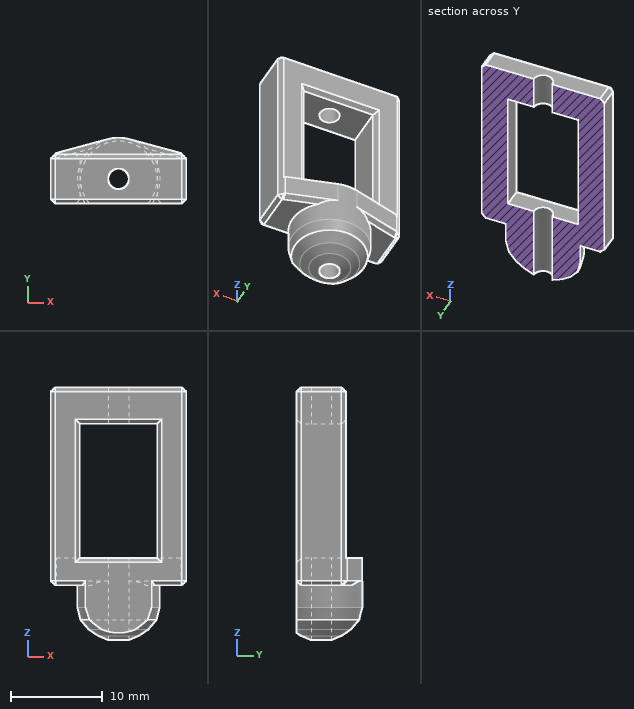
import cadquery as cq
import math

BLOCK_WIDTH = 14.8
BLOCK_DEPTH = 5.4
BLOCK_HEIGHT = 21.6
CHAMFER = 0.5

WINDOW_WIDTH = 8.4
WINDOW_TOP = 6.8
WINDOW_BOTTOM = -7.8

TAB_RADIUS = 4.5
TAB_STRAIGHT_END = -13.2
OVERALL_HEIGHT = 27.56
TIP_RADIUS = 1.14

WEDGE_CORNER_Y = 2.83

HOLE_DIAMETER = 2.2

BLOCK_TOP = BLOCK_HEIGHT / 2
BLOCK_BOTTOM = -BLOCK_HEIGHT / 2
FRONT_Y = -BLOCK_DEPTH / 2
BACK_Y = BLOCK_DEPTH / 2
WINDOW_HEIGHT = WINDOW_TOP - WINDOW_BOTTOM
WINDOW_CENTRE_Z = (WINDOW_TOP + WINDOW_BOTTOM) / 2
TIP_DEPTH = OVERALL_HEIGHT - BLOCK_TOP + TAB_STRAIGHT_END

END_BAND_RIMS = [
    (TAB_RADIUS, 0.0),
    (4.16, 1.36),
    (3.26, 2.41),
    (2.29, 3.07),
    (TIP_RADIUS, TIP_DEPTH),
]


def make_block():
    block = cq.Workplane("XY").box(BLOCK_WIDTH, BLOCK_DEPTH, BLOCK_HEIGHT)
    return block.edges().chamfer(CHAMFER)


def make_tab():
    """Cylinder with a banded round end, flattened at the front face of the block."""
    profile = cq.Workplane("XZ").moveTo(0, WINDOW_BOTTOM).lineTo(TAB_RADIUS, WINDOW_BOTTOM)
    for radius, depth in END_BAND_RIMS:
        profile = profile.lineTo(radius, TAB_STRAIGHT_END - depth)
    tab = profile.lineTo(0, TAB_STRAIGHT_END - TIP_DEPTH).close().revolve(360, (0, 0), (0, 1))

    waste_width = 2 * TAB_RADIUS
    front_waste = cq.Workplane("XY").box(waste_width, TAB_RADIUS, 2 * OVERALL_HEIGHT)
    front_waste = front_waste.translate((0, FRONT_Y - TAB_RADIUS / 2, 0))
    return tab.cut(front_waste)


def make_wedge():
    """Flanks run from the back corners of the block tangentially onto the tab."""
    edge_x = BLOCK_WIDTH / 2 - CHAMFER
    corner_x = edge_x - (WEDGE_CORNER_Y - BACK_Y)
    corner_angle = math.atan2(WEDGE_CORNER_Y, corner_x)
    corner_distance = math.hypot(corner_x, WEDGE_CORNER_Y)
    touch_angle = corner_angle + math.acos(TAB_RADIUS / corner_distance)
    touch_x = TAB_RADIUS * math.cos(touch_angle)
    touch_y = TAB_RADIUS * math.sin(touch_angle)

    def outline(plane, back_shift):
        """Wedge section with its back edges moved forwards by back_shift."""
        right_half = [
            (edge_x, 0),
            (edge_x, BACK_Y - back_shift),
            (corner_x, WEDGE_CORNER_Y - back_shift),
            (touch_x, touch_y - back_shift),
        ]
        left_half = [(-x, y) for x, y in reversed(right_half)]
        return plane.polyline(right_half + left_half).close()

    bevel_top = BLOCK_BOTTOM + CHAMFER
    upper_plane = cq.Workplane("XY").workplane(offset=bevel_top)
    upper = outline(upper_plane, 0).extrude(WINDOW_BOTTOM - bevel_top)

    flank_shift = CHAMFER / math.sin(touch_angle)
    bottom_plane = cq.Workplane("XY").workplane(offset=BLOCK_BOTTOM)
    bottom_section = outline(bottom_plane, flank_shift)
    lower = outline(bottom_section.workplane(offset=CHAMFER), 0).loft(ruled=True)
    return upper.union(lower)


def make_window():
    opening = cq.Workplane("XY").box(WINDOW_WIDTH, BLOCK_DEPTH, WINDOW_HEIGHT)
    return opening.translate((0, 0, WINDOW_CENTRE_Z))


def make_front_rim():
    """Chamfer around the front edge of the window, widening towards the front face."""
    return (
        cq.Workplane("XZ", origin=(0, FRONT_Y, WINDOW_CENTRE_Z))
        .rect(WINDOW_WIDTH + 2 * CHAMFER, WINDOW_HEIGHT + 2 * CHAMFER)
        .workplane(offset=-CHAMFER)
        .rect(WINDOW_WIDTH, WINDOW_HEIGHT)
        .loft(ruled=True)
    )


def make_hole():
    return cq.Workplane("XY").circle(HOLE_DIAMETER / 2).extrude(OVERALL_HEIGHT, both=True)


front_rim = make_front_rim()
back_rim = front_rim.mirror("XZ")

frame = make_block().cut(make_window()).cut(back_rim)
body = frame.union(make_tab()).union(make_wedge())
result = body.cut(front_rim).cut(make_hole())